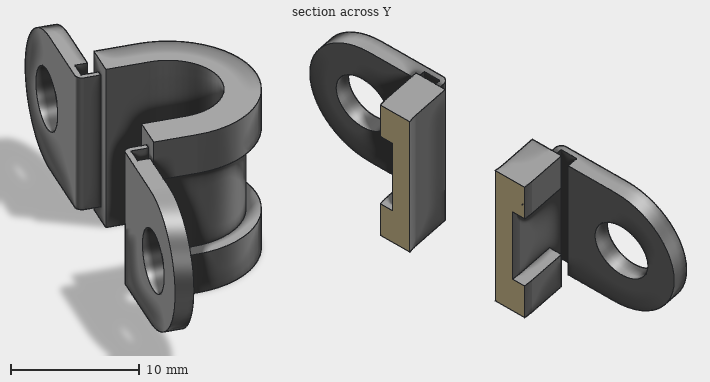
import cadquery as cq


bore_radius = 4.37
cushion_radius = 7.3
cushion_leg = 3.65
cushion_width = 14.4

strap_radius = 6.1
strap_thickness = 0.5
strap_width = 12.0
groove_width = 7.36
bend_radius = 0.6

overall_length = 36.6
overall_depth = 12.9
foot_y = cushion_radius - overall_depth
ear_thickness = 1.55
ear_inner_x = 7.65
hole_x = 13.0
hole_diameter = 5.3

ear_end_radius = strap_width / 2
ear_end_center_x = overall_length / 2 - ear_end_radius


def u_block(radius, leg, width):
    """Solid half-round arch with straight legs, centred on Z = 0."""
    return (
        cq.Workplane("XY")
        .workplane(offset=-width / 2)
        .moveTo(-radius, -leg)
        .lineTo(-radius, 0)
        .threePointArc((0, radius), (radius, 0))
        .lineTo(radius, -leg)
        .close()
        .extrude(width)
    )


def make_cushion():
    """U-shaped band with a wide groove around its outside."""
    band = u_block(cushion_radius, cushion_leg, cushion_width)
    groove = u_block(cushion_radius, cushion_leg, groove_width)
    groove = groove.cut(u_block(strap_radius, cushion_leg, groove_width))
    bore = u_block(bore_radius, cushion_leg, cushion_width)
    return band.cut(groove).cut(bore)


def make_foot():
    """Right-hand foot: strap leg, outward bend and drilled round-ended ear."""
    leg_inner_x = strap_radius - strap_thickness
    profile = (
        cq.Workplane("XY")
        .workplane(offset=-strap_width / 2)
        .moveTo(leg_inner_x, -cushion_leg)
        .lineTo(leg_inner_x, foot_y + bend_radius)
        .radiusArc((leg_inner_x + bend_radius, foot_y), -bend_radius)
        .lineTo(overall_length / 2, foot_y)
        .lineTo(overall_length / 2, foot_y + ear_thickness)
        .lineTo(ear_inner_x, foot_y + ear_thickness)
        .lineTo(ear_inner_x, foot_y + strap_thickness)
        .lineTo(strap_radius, foot_y + strap_thickness)
        .lineTo(strap_radius, -cushion_leg)
        .close()
        .extrude(strap_width)
    )
    foot_depth = -cushion_leg - foot_y
    ear_outline = (
        cq.Workplane("XZ", origin=(0, foot_y, 0))
        .moveTo(0, -ear_end_radius)
        .lineTo(ear_end_center_x, -ear_end_radius)
        .threePointArc((overall_length / 2, 0), (ear_end_center_x, ear_end_radius))
        .lineTo(0, ear_end_radius)
        .close()
        .extrude(-foot_depth)
    )
    hole = (
        cq.Workplane("XZ", origin=(hole_x, foot_y, 0))
        .circle(hole_diameter / 2)
        .extrude(-ear_thickness)
    )
    return profile.intersect(ear_outline).cut(hole)


right_foot = make_foot()
left_foot = right_foot.mirror("YZ")
result = make_cushion().union(right_foot).union(left_foot)